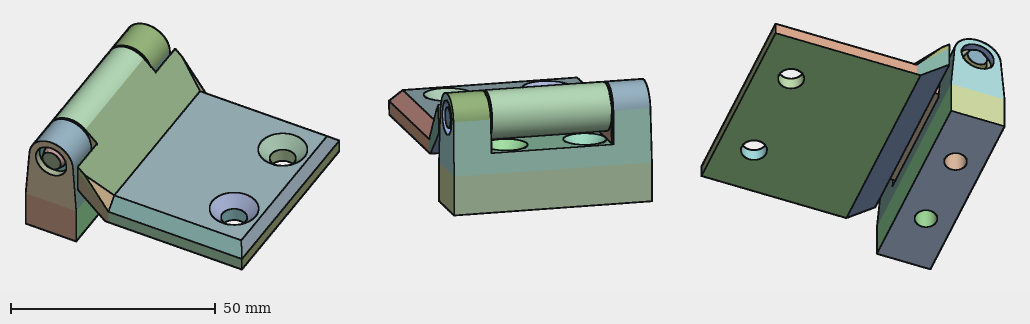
import cadquery as cq
import math

OVERALL_LENGTH = 60.0
HALF_WIDTH = 50.1 / 2
DRAFT = math.tan(math.radians(0.5))

TOP_Z = 29.0
KNUCKLE_RADIUS = 6.05
AXIS_Z = TOP_Z - KNUCKLE_RADIUS
PIN_HALF_LENGTH = 24.7
PIN_DIAMETER = 6.1
PIN_TIP_DIAMETER = 5.05
PIN_RECESS_DIAMETER = 8.45
RECESS_FLOOR_Y = 23.05

BASE_LENGTH = 14.05
BASE_HEIGHT = 9.85
SLOT_FLOOR_Z = 15.0
SLOT_FLOOR_HALF_WIDTH = 15.5
PAD_HALF_GAP = 15.2
PAD_MARGIN = 0.95
BRACKET_HOLE_SPACING = 20.0

KNUCKLE_HALF_WIDTH = 15.1
SHOULDER_X = 7.45
BEND_X = 15.95
BEND_BOTTOM_X = 15.0
LEAF_END_X = OVERALL_LENGTH - BASE_LENGTH / 2
LEAF_BOTTOM_Z = BASE_HEIGHT
LEAF_TOP_Z = LEAF_BOTTOM_Z + 6.5
SIDE_CHAMFER = 3.0
END_CHAMFER_LENGTH = 1.8
RIM_Z = LEAF_TOP_Z - SIDE_CHAMFER
CORNER_START_X = 9.3
LEAF_HOLE_X = 44.05
LEAF_HOLE_SPACING = 25.0

BRACKET_HOLE_DIAMETER = 5.5
BRACKET_SINK_DIAMETER = 10.55
LEAF_HOLE_DIAMETER = 6.35
LEAF_SINK_DIAMETER = 12.0
SINK_ANGLE = 90.0


def prism(outline):
    """XZ outline extruded over the full width."""
    return cq.Workplane("XZ").polyline(outline).close().extrude(HALF_WIDTH, both=True)


def axis_cylinder(radius, half_length):
    """Cylinder on the hinge axis, centred at mid-width."""
    return cq.Workplane("XZ").center(0, AXIS_Z).circle(radius).extrude(half_length, both=True)


def screw_holes(body, x, z, spacing, diameter, sink_diameter):
    """Cut two countersunk through holes, spaced along Y, into the upward face at height z."""
    places = [(x, -spacing / 2), (x, spacing / 2)]
    face = cq.Workplane("XY", origin=(0, 0, z)).add(body)
    return face.pushPoints(places).cskHole(diameter, sink_diameter, SINK_ANGLE)


def arch(margin, half_width):
    """Round-topped upright, tangent to its sloping sides, inset all round by the margin."""
    rise = AXIS_Z - BASE_HEIGHT
    foot_distance = math.hypot(BASE_LENGTH / 2, rise)
    side_angle = math.atan2(BASE_LENGTH / 2, rise) - math.asin(KNUCKLE_RADIUS / foot_distance)
    radius = KNUCKLE_RADIUS - margin
    tangent_x = radius * math.cos(side_angle)
    tangent_z = AXIS_Z + radius * math.sin(side_angle)
    foot_x = tangent_x + (tangent_z - BASE_HEIGHT) * math.tan(side_angle)
    return (
        cq.Workplane("XZ")
        .moveTo(-foot_x, BASE_HEIGHT)
        .lineTo(-tangent_x, tangent_z)
        .threePointArc((0, AXIS_Z + radius), (tangent_x, tangent_z))
        .lineTo(foot_x, BASE_HEIGHT)
        .close()
        .extrude(half_width, both=True)
    )


def drafted_block(bottom_half_width, bottom_z, lean):
    """Block over the base's X length, up to the top, whose Y sides lean out by the given rate."""
    top_half_width = bottom_half_width + lean * (TOP_Z - bottom_z)
    outline = [
        (-bottom_half_width, bottom_z),
        (bottom_half_width, bottom_z),
        (top_half_width, TOP_Z),
        (-top_half_width, TOP_Z),
    ]
    return cq.Workplane("YZ").polyline(outline).close().extrude(BASE_LENGTH / 2, both=True)


def ear_slot():
    """Space between the ears, less the pads that stand on their inner faces."""
    slot = drafted_block(SLOT_FLOOR_HALF_WIDTH, SLOT_FLOOR_Z, DRAFT)
    pads = arch(PAD_MARGIN, HALF_WIDTH).cut(arch(PAD_MARGIN, PAD_HALF_GAP))
    return slot.cut(pads)


def pin_recesses():
    """Round recess around each end of the pin."""
    radius = PIN_RECESS_DIAMETER / 2
    return axis_cylinder(radius, HALF_WIDTH).cut(axis_cylinder(radius, RECESS_FLOOR_Y))


def make_bracket():
    base = cq.Workplane("XY").box(
        BASE_LENGTH, 2 * HALF_WIDTH, BASE_HEIGHT, centered=(True, True, False)
    )
    upright = arch(0, HALF_WIDTH).intersect(drafted_block(HALF_WIDTH, BASE_HEIGHT, -DRAFT))
    bracket = base.union(upright).cut(ear_slot())
    bracket = screw_holes(
        bracket, 0, SLOT_FLOOR_Z, BRACKET_HOLE_SPACING, BRACKET_HOLE_DIAMETER, BRACKET_SINK_DIAMETER
    )
    return bracket.cut(axis_cylinder(PIN_DIAMETER / 2, HALF_WIDTH)).cut(pin_recesses())


def make_pin():
    """Round pin with ends that taper inside the bracket's recesses."""
    tip_radius = PIN_TIP_DIAMETER / 2
    radius = PIN_DIAMETER / 2
    half_profile = [
        (0, -PIN_HALF_LENGTH),
        (tip_radius, -PIN_HALF_LENGTH),
        (radius, -RECESS_FLOOR_Y),
        (radius, RECESS_FLOOR_Y),
        (tip_radius, PIN_HALF_LENGTH),
        (0, PIN_HALF_LENGTH),
    ]
    pin = cq.Workplane("XY").polyline(half_profile).close().revolve(360, (0, 0, 0), (0, 1, 0))
    return pin.translate((0, 0, AXIS_Z))


def rim_bar(half_width, x, z, slope=0.0):
    """Long bar, widest on a rim line through (x, z), whose sides lean in above and below it.

    The rim falls towards +X by the slope angle; the lean per unit of height is always DRAFT.
    """
    side_reach = OVERALL_LENGTH / 2
    narrow = half_width - side_reach * DRAFT / math.cos(slope)
    section = [
        (-narrow, -side_reach),
        (narrow, -side_reach),
        (half_width, 0),
        (narrow, side_reach),
        (-narrow, side_reach),
        (-half_width, 0),
    ]
    bar = cq.Workplane("YZ").polyline(section).close().extrude(OVERALL_LENGTH, both=True)
    return bar.rotate((0, 0, 0), (0, 1, 0), math.degrees(slope)).translate((x, 0, z))


def tangent_slope():
    """Fall angle of the arm's top, which runs from the bend tangent to the knuckle."""
    drop = AXIS_Z - LEAF_TOP_Z
    distance = math.hypot(BEND_X, drop)
    return math.atan2(drop, BEND_X) + math.asin(KNUCKLE_RADIUS / distance)


def arm_top_z(x):
    return LEAF_TOP_Z + (BEND_X - x) * math.tan(tangent_slope())


def leaf_knuckle():
    """Barrel around the pin with the neck that joins it to the arm."""
    slope = tangent_slope()
    tangent_x = KNUCKLE_RADIUS * math.sin(slope)
    tangent_z = AXIS_Z + KNUCKLE_RADIUS * math.cos(slope)
    neck = prism([
        (0, AXIS_Z - KNUCKLE_RADIUS),
        (SHOULDER_X, AXIS_Z - KNUCKLE_RADIUS),
        (SHOULDER_X, arm_top_z(SHOULDER_X)),
        (tangent_x, tangent_z),
        (0, AXIS_Z),
    ])
    barrel = axis_cylinder(KNUCKLE_RADIUS, HALF_WIDTH)
    return barrel.union(neck).intersect(rim_bar(KNUCKLE_HALF_WIDTH, 0, AXIS_Z))


def leaf_arm():
    """Full-width sloping arm between the shoulder and the bend."""
    arm = prism([
        (SHOULDER_X, AXIS_Z - KNUCKLE_RADIUS),
        (BEND_BOTTOM_X, LEAF_BOTTOM_Z),
        (BEND_X, LEAF_BOTTOM_Z),
        (BEND_X, LEAF_TOP_Z),
        (SHOULDER_X, arm_top_z(SHOULDER_X)),
    ])
    rim_slope = math.atan2(AXIS_Z - RIM_Z, BEND_X - SHOULDER_X)
    arm = arm.intersect(rim_bar(HALF_WIDTH, BEND_X, RIM_Z, rim_slope))
    corner = arm_corner()
    return arm.cut(corner).cut(corner.mirror("XZ"))


def arm_corner():
    """Tetrahedron that runs the +Y plate chamfer out along the arm."""
    rim_point = (BEND_X, HALF_WIDTH, RIM_Z)
    inner_point = (BEND_X, HALF_WIDTH - SIDE_CHAMFER, LEAF_TOP_Z)
    run_out = (CORNER_START_X, HALF_WIDTH, arm_top_z(CORNER_START_X))
    outer_point = (BEND_X, HALF_WIDTH, LEAF_TOP_Z)
    corners = [rim_point, inner_point, run_out, outer_point]
    faces = []
    for left_out in corners:
        triangle = [cq.Vector(*point) for point in corners if point != left_out]
        faces.append(cq.Face.makeFromWires(cq.Wire.makePolygon(triangle, close=True)))
    return cq.Workplane(cq.Solid.makeSolid(cq.Shell.makeShell(faces)))


def leaf_plate():
    """Flat plate with sloping upper edges along its sides and its end."""
    foot_end_x = LEAF_END_X - DRAFT * (RIM_Z - LEAF_BOTTOM_Z)
    plate = prism([
        (BEND_X, LEAF_BOTTOM_Z),
        (foot_end_x, LEAF_BOTTOM_Z),
        (LEAF_END_X, RIM_Z),
        (LEAF_END_X - END_CHAMFER_LENGTH, LEAF_TOP_Z),
        (BEND_X, LEAF_TOP_Z),
    ])
    foot_half_width = HALF_WIDTH - DRAFT * (RIM_Z - LEAF_BOTTOM_Z)
    top_half_width = HALF_WIDTH - SIDE_CHAMFER
    section = [
        (-foot_half_width, LEAF_BOTTOM_Z),
        (foot_half_width, LEAF_BOTTOM_Z),
        (HALF_WIDTH, RIM_Z),
        (top_half_width, LEAF_TOP_Z),
        (-top_half_width, LEAF_TOP_Z),
        (-HALF_WIDTH, RIM_Z),
    ]
    return plate.intersect(cq.Workplane("YZ").polyline(section).close().extrude(LEAF_END_X))


def make_leaf():
    leaf = leaf_plate().union(leaf_arm()).union(leaf_knuckle())
    leaf = screw_holes(
        leaf, LEAF_HOLE_X, LEAF_TOP_Z, LEAF_HOLE_SPACING, LEAF_HOLE_DIAMETER, LEAF_SINK_DIAMETER
    )
    return leaf.cut(axis_cylinder(PIN_DIAMETER / 2, HALF_WIDTH))


bracket = make_bracket()
leaf = make_leaf()
pin = make_pin()

result = cq.Compound.makeCompound([bracket.val(), leaf.val(), pin.val()])